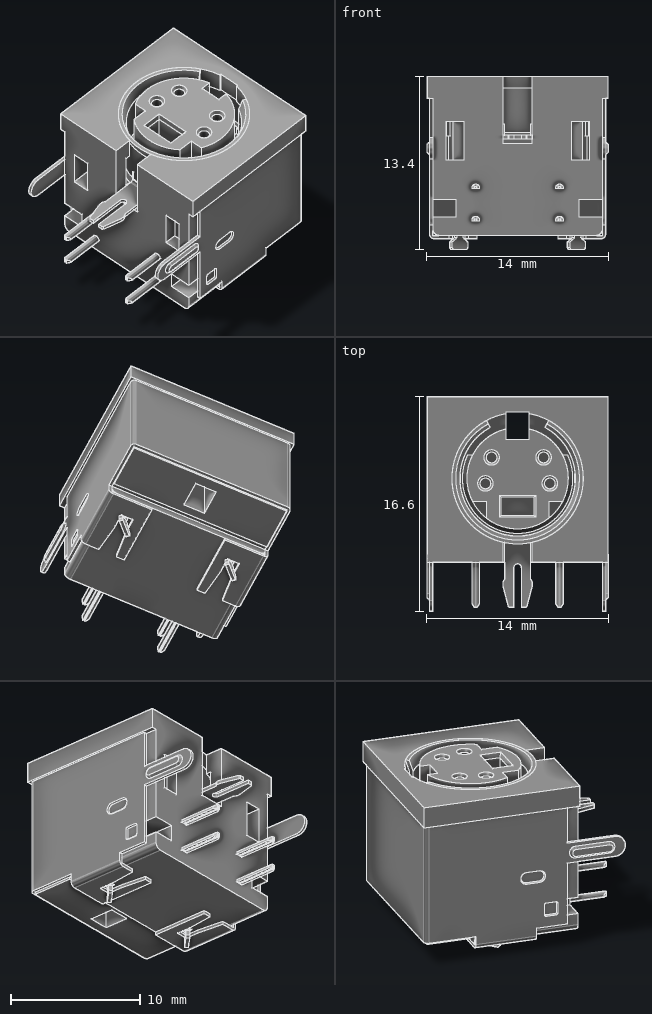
import cadquery as cq
import math


OVERALL_DEPTH = 16.6

COVER_WIDTH = 14.0
COVER_DEPTH = 12.8
COVER_HEIGHT = 1.7
TOP_Z = 12.3
COVER_Z = TOP_Z - COVER_HEIGHT
BODY_HALF_WIDTH = 6.55
BODY_BACK_Y = 12.42
BOTTOM_EDGE_RADIUS = 0.5
REAR_FLOOR_Z = 0.8
REAR_PAD_Z = 0.6
REAR_PAD_START_Y = 8.86

SOCKET_Y = 6.49
SOCKET_RADIUS = 5.08
SOCKET_FLOOR_Z = 7.1
RELIEF_RADIUS = 5.5
RELIEF_FLOOR_Z = 7.69
CORE_RADIUS = 3.92
CORE_FOOT_RADIUS = 4.27
CORE_FOOT_TOP_Z = 7.47
CORE_FOOT_BACK_Y = 8.28
SLOT_HALF_WIDTH = 1.11
KEY_HALF_WIDTH = 0.88
KEY_FRONT_Y = 9.5
KEY_BACK_Y = 11.6
NOTCH_X = 2.42
NOTCH_BACK_Y = 4.71
RECESS_WIDTH = 2.82
RECESS_FRONT_Y = 3.49
RECESS_LENGTH = 1.7
RECESS_DEPTH = 2.49
RECESS_LEAD_IN = 0.13
RECESS_LEAD_IN_DEPTH = 0.4
CONTACT_PLACES = [(2.01, 8.1), (2.49, 6.1)]
CONTACT_RADIUS = 0.42
CONTACT_SINK_RADIUS = 0.6
CONTACT_SINK_DEPTH = 0.25
CONTACT_DEPTH = 4.15

WINDOW_INNER_X = 4.15
WINDOW_STEP_X = 5.0
WINDOW_SLOPE_X = 5.35
WINDOW_OUTER_X = 5.55
WINDOW_BOTTOM_Z = 5.85
WINDOW_TOP_Z = 8.81
WINDOW_DEPTH = 1.0
SIDE_POCKET_X = 4.75
SIDE_POCKET_BOTTOM_Z = 1.43
SIDE_POCKET_TOP_Z = 2.79
SIDE_POCKET_DEPTH = 2.99

SHELL_SHEET = 0.27
SHELL_HALF_WIDTH = BODY_HALF_WIDTH + SHELL_SHEET
SHELL_BACK_Y = BODY_BACK_Y + SHELL_SHEET
SHELL_FRONT_Y = 0.98
SHELL_CORNER_RADIUS = 0.33
FLAP_FRONT_Y = 3.5
FLAP_BACK_Y = 8.48
FLAP_INNER_X = 3.12
FLAP_BEND_RADIUS = 0.4
FLAP_NOTCH_MOUTH = 1.51
FLAP_NOTCH_WIDTH = 1.0
FLAP_NOTCH_NECK_Y = 5.81
FLAP_NOTCH_END_Y = 7.04
TERMINAL_TIP_Y = COVER_DEPTH - OVERALL_DEPTH
TERMINAL_Z = 6.74
TERMINAL_WIDTH = 1.68
BEAD_BACK_Y = 0.8
BEAD_FRONT_Y = -2.92
BEAD_WIDTH = 0.98
BEAD_HEIGHT = 0.2
BEAD_TAPER = 45.0
IMPRESSION_DEPTH = 0.15
IMPRESSION_TAPER = 25.0
OVAL_Y = 3.78
OVAL_Z = 5.1
OVAL_LENGTH = 2.03
OVAL_WIDTH = 0.98
SQUARE_Y = 2.3
SQUARE_Z = 2.24
SQUARE_SIZE = 1.11
SQUARE_CORNER_RADIUS = 0.17

RING_SHEET = 0.3
RING_RADIUS = SOCKET_RADIUS - 0.32
FLARE_HEIGHT = 0.91
RING_GAP_HALF_ANGLE = 28.3
RING_BOTTOM_Z = 7.95
TONGUE_BEND_RADIUS = 0.2
TONGUE_HALF_WIDTH = 1.01
TONGUE_CUT_TOP_Z = 8.63
TONGUE_NECK_Y = -1.3
BARB_BACK_Y = -1.53
BARB_FRONT_Y = -1.83
BARB_HALF_WIDTH = 1.15
TONGUE_TIP_HALF_WIDTH = 0.73
TONGUE_TIP_Y = -3.49
TONGUE_TIP_CHAMFER = 0.08
TONGUE_SLIT_RADIUS = 0.28
TONGUE_SLIT_END_Y = -0.13
LEG_X = 4.55
LEG_WIDTH = 0.68
LEG_TOP_Z = 8.3
LEG_TWIST = 45.0
HEAD_HALF_WIDTH = 0.86
HEAD_NECK_Z = -0.17
HEAD_SHOULDER_Z = -0.5
HEAD_CHIN_Z = -0.93
HEAD_BOTTOM_HALF_WIDTH = 0.73
HEAD_BOTTOM_Z = -1.1

PIN_X = 3.24
PIN_BOTTOM_ZS = [1.13, 3.62]
PIN_HALF_WIDTH = 0.3
PIN_HEIGHT = 0.35
PIN_EDGE_RADIUS = 0.27
PIN_CHANNEL_WIDTH = 0.12
PIN_CHANNEL_HEIGHT = 0.17
PIN_TIP_Y = -3.49
PIN_TIP_HALF_WIDTH = 0.12
PIN_TIP_LENGTH = 0.28
PIN_INNER_Y = 2.0

SIDES = (-1, 1)


def block(x_range, y_range, z_range):
    """Axis-aligned box given by its two limits along each axis."""
    low = [min(pair) for pair in (x_range, y_range, z_range)]
    size = [abs(pair[1] - pair[0]) for pair in (x_range, y_range, z_range)]
    return cq.Workplane("XY").box(*size, centered=False).translate(tuple(low))


def disc(radius, low_z, high_z):
    """Cylinder on the socket axis."""
    return cq.Workplane("XY", origin=(0, SOCKET_Y, low_z)).circle(radius).extrude(high_z - low_z)


def mirrored(shape):
    """The shape together with its mirror image in X = 0."""
    return shape.union(shape.mirror("YZ"))



def solder_pin(x, bottom_z):
    """Bar along Y with rounded upper edges, a channel underneath and a pointed tip."""
    bar = block((-PIN_HALF_WIDTH, PIN_HALF_WIDTH), (PIN_TIP_Y, PIN_INNER_Y), (0, PIN_HEIGHT))
    bar = bar.edges("|Y and >Z").fillet(PIN_EDGE_RADIUS)
    half_channel = PIN_CHANNEL_WIDTH / 2
    channel = block((-half_channel, half_channel), (PIN_TIP_Y, 0), (0, PIN_CHANNEL_HEIGHT))
    right_edge = [
        (PIN_HALF_WIDTH, PIN_INNER_Y),
        (PIN_HALF_WIDTH, PIN_TIP_Y + PIN_TIP_LENGTH),
        (PIN_TIP_HALF_WIDTH, PIN_TIP_Y),
    ]
    left_edge = [(-x, y) for x, y in reversed(right_edge)]
    outline = cq.Workplane("XY").polyline(right_edge + left_edge).close().extrude(PIN_HEIGHT)
    return bar.cut(channel).intersect(outline).translate((x, 0, bottom_z))


pins = [solder_pin(side * PIN_X, z) for side in SIDES for z in PIN_BOTTOM_ZS]



def ring_wall():
    """Flared tube with a gap at the back and a cut each side of the tongue."""
    bend_z = TOP_Z - FLARE_HEIGHT
    outline = [
        (RING_RADIUS, RING_BOTTOM_Z),
        (RING_RADIUS, bend_z),
        (SOCKET_RADIUS, TOP_Z),
        (SOCKET_RADIUS - RING_SHEET, TOP_Z),
        (RING_RADIUS - RING_SHEET, bend_z),
        (RING_RADIUS - RING_SHEET, RING_BOTTOM_Z),
    ]
    sweep = 360 - 2 * RING_GAP_HALF_ANGLE
    wall = cq.Workplane("XZ").polyline(outline).close().revolve(sweep, (0, 0), (0, 1))
    wall = wall.rotate((0, 0, 0), (0, 0, 1), 90 + RING_GAP_HALF_ANGLE).translate((0, SOCKET_Y, 0))
    cut = block((TONGUE_HALF_WIDTH, SLOT_HALF_WIDTH), (0, SOCKET_Y), (RING_BOTTOM_Z, TONGUE_CUT_TOP_Z))
    return wall.cut(mirrored(cut))


def tongue():
    """Barbed, slit tongue bent out of the ring through the front slot."""
    inner, outer = TONGUE_BEND_RADIUS, TONGUE_BEND_RADIUS + RING_SHEET
    centre_y = SOCKET_Y - RING_RADIUS - inner
    top_z = RING_BOTTOM_Z - inner
    bottom_z = RING_BOTTOM_Z - outer
    diagonal = math.sqrt(0.5)
    bent_sheet = (
        cq.Workplane("YZ", origin=(-BARB_HALF_WIDTH, 0, 0))
        .moveTo(TONGUE_TIP_Y, bottom_z)
        .lineTo(centre_y, bottom_z)
        .threePointArc(
            (centre_y + outer * diagonal, RING_BOTTOM_Z - outer * diagonal),
            (centre_y + outer, RING_BOTTOM_Z),
        )
        .lineTo(centre_y + inner, RING_BOTTOM_Z)
        .threePointArc(
            (centre_y + inner * diagonal, RING_BOTTOM_Z - inner * diagonal),
            (centre_y, top_z),
        )
        .lineTo(TONGUE_TIP_Y, top_z)
        .close()
        .extrude(2 * BARB_HALF_WIDTH)
    )
    right_edge = [
        (TONGUE_HALF_WIDTH, SOCKET_Y),
        (TONGUE_HALF_WIDTH, TONGUE_NECK_Y),
        (BARB_HALF_WIDTH, BARB_BACK_Y),
        (BARB_HALF_WIDTH, BARB_FRONT_Y),
        (TONGUE_TIP_HALF_WIDTH, TONGUE_TIP_Y + TONGUE_TIP_CHAMFER),
        (TONGUE_TIP_HALF_WIDTH - TONGUE_TIP_CHAMFER, TONGUE_TIP_Y),
    ]
    left_edge = [(-x, y) for x, y in reversed(right_edge)]
    outline = cq.Workplane("XY").polyline(right_edge + left_edge).close().extrude(TOP_Z)
    slit_centre_y = TONGUE_SLIT_END_Y - TONGUE_SLIT_RADIUS
    slit = block((-TONGUE_SLIT_RADIUS, TONGUE_SLIT_RADIUS), (TONGUE_TIP_Y, slit_centre_y), (0, TOP_Z))
    slit_end = cq.Workplane("XY", origin=(0, slit_centre_y, 0)).circle(TONGUE_SLIT_RADIUS).extrude(TOP_Z)
    return bent_sheet.intersect(outline).cut(slit).cut(slit_end)


def straight_leg(side):
    """Part of a leg between the ring and the underside of the housing."""
    return block(
        (side * LEG_X - RING_SHEET / 2, side * LEG_X + RING_SHEET / 2),
        (SOCKET_Y - LEG_WIDTH / 2, SOCKET_Y + LEG_WIDTH / 2),
        (0, LEG_TOP_Z),
    )


def twisted_head(side):
    """End of a leg, twisted below the housing to lock the shell flap."""
    right_edge = [
        (LEG_WIDTH / 2, 0),
        (LEG_WIDTH / 2, HEAD_NECK_Z),
        (HEAD_HALF_WIDTH, HEAD_SHOULDER_Z),
        (HEAD_HALF_WIDTH, HEAD_CHIN_Z),
        (HEAD_BOTTOM_HALF_WIDTH, HEAD_BOTTOM_Z),
    ]
    left_edge = [(-x, z) for x, z in reversed(right_edge)]
    plate = cq.Workplane("XZ").polyline(right_edge + left_edge).close().extrude(RING_SHEET / 2, both=True)
    return plate.rotate((0, 0, 0), (0, 0, 1), LEG_TWIST).translate((side * LEG_X, SOCKET_Y, 0))


contact_ring = ring_wall().union(tongue())
for side in SIDES:
    contact_ring = contact_ring.union(straight_leg(side)).union(twisted_head(side))



def shell_walls():
    """Back wall and two side walls of one bent sheet."""
    height = (REAR_FLOOR_Z, COVER_Z)
    outer = block((-SHELL_HALF_WIDTH, SHELL_HALF_WIDTH), (SHELL_FRONT_Y, SHELL_BACK_Y), height)
    outer = outer.edges("|Z and >Y").fillet(SHELL_CORNER_RADIUS)
    inner = block((-BODY_HALF_WIDTH, BODY_HALF_WIDTH), (0, BODY_BACK_Y), (0, COVER_Z))
    return outer.cut(inner)


def shell_flap():
    """Flap bent under the housing at +X, notched from the front around the ring's leg."""
    outer = block((FLAP_INNER_X, SHELL_HALF_WIDTH), (FLAP_FRONT_Y, FLAP_BACK_Y), (-SHELL_SHEET, REAR_FLOOR_Z))
    outer = outer.edges("|Y and >X and <Z").fillet(FLAP_BEND_RADIUS)
    inner = block((0, BODY_HALF_WIDTH), (0, COVER_DEPTH), (0, TOP_Z))
    half_mouth = FLAP_NOTCH_MOUTH / 2
    half_width = FLAP_NOTCH_WIDTH / 2
    notch = (
        cq.Workplane("XY", origin=(LEG_X, 0, -SHELL_SHEET))
        .polyline([
            (-half_mouth, FLAP_FRONT_Y),
            (half_mouth, FLAP_FRONT_Y),
            (half_width, FLAP_NOTCH_NECK_Y),
            (half_width, FLAP_NOTCH_END_Y),
            (-half_width, FLAP_NOTCH_END_Y),
            (-half_width, FLAP_NOTCH_NECK_Y),
        ])
        .close()
        .extrude(SHELL_SHEET)
    )
    return outer.cut(inner).cut(notch)


def terminal():
    """Round-ended solder blade at +X with a raised bead on its outer face."""
    radius = TERMINAL_WIDTH / 2
    round_y = TERMINAL_TIP_Y + radius
    blade = block(
        (BODY_HALF_WIDTH, SHELL_HALF_WIDTH),
        (round_y, SHELL_FRONT_Y),
        (TERMINAL_Z - radius, TERMINAL_Z + radius),
    )
    tip_centre = (BODY_HALF_WIDTH, round_y, TERMINAL_Z)
    tip = cq.Workplane("YZ", origin=tip_centre).circle(radius).extrude(SHELL_SHEET)
    bead = (
        cq.Workplane("YZ", origin=(SHELL_HALF_WIDTH, (BEAD_BACK_Y + BEAD_FRONT_Y) / 2, TERMINAL_Z))
        .slot2D(BEAD_BACK_Y - BEAD_FRONT_Y, BEAD_WIDTH)
        .extrude(BEAD_HEIGHT, taper=BEAD_TAPER)
    )
    return blade.union(tip).union(bead)


def shell_impressions():
    """Shallow oval and square impressions in the outer face at +X."""
    oval = (
        cq.Workplane("YZ", origin=(SHELL_HALF_WIDTH, OVAL_Y, OVAL_Z))
        .slot2D(OVAL_LENGTH, OVAL_WIDTH)
        .extrude(-IMPRESSION_DEPTH, taper=IMPRESSION_TAPER)
    )
    square_outline = cq.Sketch().rect(SQUARE_SIZE, SQUARE_SIZE).vertices().fillet(SQUARE_CORNER_RADIUS)
    square = (
        cq.Workplane("YZ", origin=(SHELL_HALF_WIDTH, SQUARE_Y, SQUARE_Z))
        .placeSketch(square_outline)
        .extrude(-IMPRESSION_DEPTH, taper=IMPRESSION_TAPER)
    )
    return oval.union(square)


shell = (
    shell_walls()
    .union(mirrored(shell_flap()))
    .union(mirrored(terminal()))
    .cut(mirrored(shell_impressions()))
)



def housing_block():
    """Cover plate over a narrower body with a stepped underside."""
    half_cover = COVER_WIDTH / 2
    cover = block((-half_cover, half_cover), (0, COVER_DEPTH), (COVER_Z, TOP_Z))
    width = (-BODY_HALF_WIDTH, BODY_HALF_WIDTH)
    front = block(width, (0, FLAP_BACK_Y), (0, COVER_Z))
    front = front.edges("|Y and <Z").fillet(BOTTOM_EDGE_RADIUS)
    rear = block(width, (FLAP_BACK_Y, BODY_BACK_Y), (REAR_FLOOR_Z, COVER_Z))
    pad = block(width, (REAR_PAD_START_Y, BODY_BACK_Y), (REAR_PAD_Z, REAR_FLOOR_Z))
    return cover.union(front).union(rear).union(pad)


def core():
    """Round core with two corner notches, on a conical foot around its front side."""
    foot_height = CORE_FOOT_TOP_Z - SOCKET_FLOOR_Z
    foot_outline = [(0, 0), (CORE_FOOT_RADIUS, 0), (CORE_RADIUS, foot_height), (0, foot_height)]
    foot = (
        cq.Workplane("XZ", origin=(0, SOCKET_Y, SOCKET_FLOOR_Z))
        .polyline(foot_outline)
        .close()
        .revolve(360, (0, 0), (0, 1))
    )
    behind = block((-RELIEF_RADIUS, RELIEF_RADIUS), (CORE_FOOT_BACK_Y, COVER_DEPTH), (0, TOP_Z))
    notch = block((NOTCH_X, RELIEF_RADIUS), (0, NOTCH_BACK_Y), (CORE_FOOT_TOP_Z, TOP_Z))
    column = disc(CORE_RADIUS, SOCKET_FLOOR_Z, TOP_Z).cut(mirrored(notch))
    return column.union(foot.cut(behind))


def socket_cavity():
    """Annular space around the core, with the tongue's slot to the front face."""
    bore = disc(SOCKET_RADIUS, SOCKET_FLOOR_Z, TOP_Z).union(disc(RELIEF_RADIUS, RELIEF_FLOOR_Z, COVER_Z))
    slot = block((-SLOT_HALF_WIDTH, SLOT_HALF_WIDTH), (0, SOCKET_Y), (SOCKET_FLOOR_Z, TOP_Z))
    return bore.union(slot).cut(core())


def core_recess():
    """Rectangular blind recess with a steep lead-in around its mouth."""
    centre = (0, RECESS_FRONT_Y + RECESS_LENGTH / 2)
    shrink = 2 * RECESS_LEAD_IN
    inner = (RECESS_WIDTH - shrink, RECESS_LENGTH - shrink)
    lead_in = (
        cq.Workplane("XY", origin=(*centre, TOP_Z))
        .rect(RECESS_WIDTH, RECESS_LENGTH)
        .workplane(offset=-RECESS_LEAD_IN_DEPTH)
        .rect(*inner)
        .loft()
    )
    well = cq.Workplane("XY", origin=(*centre, TOP_Z - RECESS_DEPTH)).rect(*inner).extrude(RECESS_DEPTH)
    return well.union(lead_in)


def contact_hole(x, y):
    """Countersunk blind hole for a plug pin."""
    bottom_z = TOP_Z - CONTACT_DEPTH
    hole = cq.Workplane("XY", origin=(x, y, bottom_z)).circle(CONTACT_RADIUS).extrude(CONTACT_DEPTH)
    sink = (
        cq.Workplane("XY", origin=(x, y, TOP_Z))
        .circle(CONTACT_SINK_RADIUS)
        .workplane(offset=-CONTACT_SINK_DEPTH)
        .circle(CONTACT_RADIUS)
        .loft()
    )
    return hole.union(sink)


def window():
    """Front pocket at +X whose outer side runs back to the socket axis beside a sloped wall."""
    return (
        cq.Workplane("XY", origin=(0, 0, WINDOW_BOTTOM_Z))
        .polyline([
            (WINDOW_INNER_X, 0),
            (WINDOW_OUTER_X, 0),
            (WINDOW_OUTER_X, SOCKET_Y),
            (WINDOW_SLOPE_X, SOCKET_Y),
            (WINDOW_STEP_X, WINDOW_DEPTH),
            (WINDOW_INNER_X, WINDOW_DEPTH),
        ])
        .close()
        .extrude(WINDOW_TOP_Z - WINDOW_BOTTOM_Z)
    )


def side_pocket():
    """Pocket at +X, open to the front and to the side."""
    return block(
        (SIDE_POCKET_X, BODY_HALF_WIDTH),
        (0, SIDE_POCKET_DEPTH),
        (SIDE_POCKET_BOTTOM_Z, SIDE_POCKET_TOP_Z),
    )


def keyway():
    """Rectangular passage right through the housing at the back of the core."""
    return block((-KEY_HALF_WIDTH, KEY_HALF_WIDTH), (KEY_FRONT_Y, KEY_BACK_Y), (0, TOP_Z))


housing = housing_block().cut(socket_cavity()).cut(keyway()).cut(core_recess())
housing = housing.cut(mirrored(window())).cut(mirrored(side_pocket()))
for side in SIDES:
    housing = housing.cut(straight_leg(side))
    for x, y in CONTACT_PLACES:
        housing = housing.cut(contact_hole(side * x, y))
for pin in pins:
    housing = housing.cut(pin)

bodies = [housing, shell, contact_ring, *pins]
result = cq.Compound.makeCompound([body.solids().val() for body in bodies])